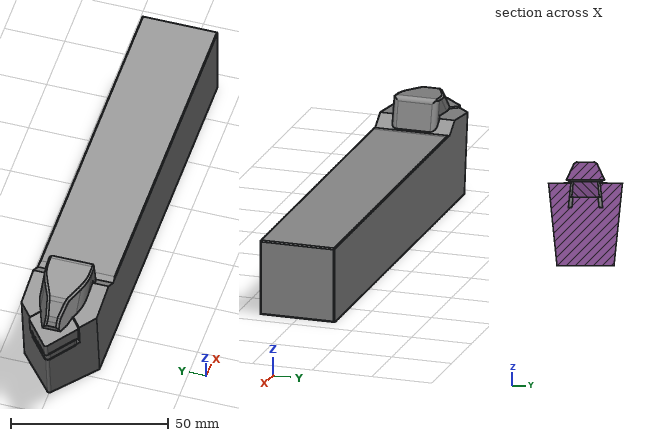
import cadquery as cq
import math

LENGTH = 149.5
SHANK = 25.0
TILT = 7.0
HALF_POINT = 40.0
OVERCUT = 59.8

INSERT_CIRCLE = 12.7
INSERT_THICKNESS = 4.8
INSERT_NOSE = 0.8

SHIM_THICKNESS = 3.3
SHIM_SETBACK = 0.3
SHIM_NOSE = 1.3
SHIM_SIDE_CORNER = 1.8

HEAD_SETBACK = 0.6
HEAD_NOSE = 0.8
HEAD_DROP = 0.5
POCKET_GAP = 0.5
RAMP_TOP_X = 28.4
GROOVE_X = 33.5
GROOVE_DEPTH = 0.5
GROOVE_END_X = 36.0
LONG_EDGE_CHAMFER = 0.3
REAR_CHAMFER = 0.5

CLAMP_WIDTH = 15.0
CLAMP_TOP = 6.3
CLAMP_GAP_W = 0.6
CLAMP_FOOT_U = (6.9, 9.7)
CLAMP_FOOT_RISE_U = 12.5
CLAMP_NOSE_W = 1.6
CLAMP_NOSE_BREAK = (8.0, 2.7)
CLAMP_RAMP_START = (9.3, 3.7)
CLAMP_RAMP_END = (13.9, 5.8)
CLAMP_TOP_START_U = 15.4
CLAMP_REAR_U = 31.5
CLAMP_HEEL_U = 32.8
CLAMP_SWEEP = 43.0
CLAMP_REF_Z = 27.8
CLAMP_NOSE_X = 7.2
CLAMP_NOSE_WIDTH = 4.5
CLAMP_SHOULDER_X = 14.5
CLAMP_SHOULDER_WIDTH = 11.8
CLAMP_FULL_X = 21.1
CLAMP_RIM_CHAMFER = 0.6
CLAMP_REAR_ROUND = 1.8
CLAMP_CORNER_ROUND = 1.8

SIN_POINT = math.sin(math.radians(HALF_POINT))
COS_POINT = math.cos(math.radians(HALF_POINT))
TIP_OFFSET = INSERT_NOSE / SIN_POINT - INSERT_NOSE
INSERT_CENTRE = INSERT_CIRCLE / 2 / SIN_POINT - TIP_OFFSET
HEAD_TIP = HEAD_SETBACK / SIN_POINT - TIP_OFFSET


def tilted(body):
    """Carry a body from the tilted frame to its place at the cutting tip."""
    return body.rotate((0, 0, 0), (0, 1, 0), -TILT).translate((0, 0, SHANK))


def to_tilted(x, z):
    """Tilted-frame coordinates (u, w) of a point of the XZ plane."""
    c, s = math.cos(math.radians(TILT)), math.sin(math.radians(TILT))
    return x * c + (z - SHANK) * s, (z - SHANK) * c - x * s


def rhombus(circle, nose, side_corner, top, thickness):
    """Rounded 80 degree rhombic plate around the insert centre, in the tilted frame."""
    along, across = circle / 2 / SIN_POINT, circle / 2 / COS_POINT
    outline = [
        (INSERT_CENTRE - along, 0),
        (INSERT_CENTRE, across),
        (INSERT_CENTRE + along, 0),
        (INSERT_CENTRE, -across),
    ]
    plate = cq.Workplane("XY").workplane(offset=top - thickness).polyline(outline).close()
    plate = plate.extrude(thickness)
    plate = plate.edges("|Z and (<X or >X)").fillet(nose)
    return plate.edges("|Z and (<Y or >Y)").fillet(side_corner)


def prism(points, width):
    """Prism of an XZ outline, centred on Y = 0."""
    return cq.Workplane("XZ").polyline(points).close().extrude(width / 2, both=True)


def make_insert():
    return tilted(rhombus(INSERT_CIRCLE, INSERT_NOSE, INSERT_NOSE, 0, INSERT_THICKNESS))


def head_level(x):
    """Height of the tilted head top at x."""
    drop = HEAD_DROP / math.cos(math.radians(TILT))
    return SHANK + x * math.tan(math.radians(TILT)) - drop


def ramp_top():
    return RAMP_TOP_X, head_level(RAMP_TOP_X)


def ramp_foot():
    return GROOVE_X, SHANK - GROOVE_DEPTH


def make_bar():
    """Shank with the tilted head top, the clamp ramp and the groove at its foot."""
    side = [
        (0, 0),
        (LENGTH, 0),
        (LENGTH, SHANK),
        (GROOVE_END_X, SHANK),
        ramp_foot(),
        ramp_top(),
        (0, head_level(0)),
    ]
    bar = prism(side, SHANK)
    bar = bar.faces(">X").edges().chamfer(REAR_CHAMFER)
    long_edges = cq.selectors.BoxSelector(
        (GROOVE_END_X, -SHANK, SHANK - LONG_EDGE_CHAMFER),
        (LENGTH, SHANK, SHANK + LONG_EDGE_CHAMFER),
    )
    return bar.edges("|X").edges(long_edges).chamfer(LONG_EDGE_CHAMFER)


def point_wedge():
    """Tilted wedge whose two flanks and rounded nose shape the head."""
    spread = OVERCUT * math.tan(math.radians(HALF_POINT))
    far = HEAD_TIP + OVERCUT
    outline = [
        (HEAD_TIP, 0),
        (far, -spread),
        (far + LENGTH, -spread),
        (far + LENGTH, spread),
        (far, spread),
    ]
    wedge = (
        cq.Workplane("XY").workplane(offset=-OVERCUT)
        .polyline(outline).close()
        .extrude(2 * OVERCUT)
    )
    return tilted(wedge.edges("|Z and <X").fillet(HEAD_NOSE))


def insert_pocket():
    """V-walled seat for shim and insert, open to the front and above."""
    apex = INSERT_CENTRE + (INSERT_CIRCLE / 2 + POCKET_GAP) / SIN_POINT
    spread = OVERCUT * math.tan(math.radians(HALF_POINT))
    floor = -INSERT_THICKNESS - SHIM_THICKNESS
    seat = (
        cq.Workplane("XY").workplane(offset=floor)
        .polyline([(apex, 0), (apex - OVERCUT, spread), (apex - OVERCUT, -spread)]).close()
        .extrude(OVERCUT)
    )
    return tilted(seat)


def make_shim():
    shim_circle = INSERT_CIRCLE - 2 * SHIM_SETBACK
    shim = rhombus(shim_circle, SHIM_NOSE, SHIM_SIDE_CORNER, -INSERT_THICKNESS, SHIM_THICKNESS)
    return tilted(shim)


def clamp_heel():
    """Lowest rear point of the clamp, on the ramp."""
    peak, foot = to_tilted(*ramp_top()), to_tilted(*ramp_foot())
    slope = (foot[1] - peak[1]) / (foot[0] - peak[0])
    return CLAMP_HEEL_U, peak[1] + slope * (CLAMP_HEEL_U - peak[0])


def clamp_side():
    """Side outline of the clamp extruded across Y."""
    peak = to_tilted(*ramp_top())
    side = [
        (CLAMP_FOOT_U[0], 0),
        (CLAMP_FOOT_U[0], CLAMP_NOSE_W),
        CLAMP_NOSE_BREAK,
        CLAMP_RAMP_START,
        CLAMP_RAMP_END,
        (CLAMP_TOP_START_U, CLAMP_TOP),
        (CLAMP_REAR_U, CLAMP_TOP),
        clamp_heel(),
        peak,
        (peak[0], CLAMP_GAP_W),
        (CLAMP_FOOT_RISE_U, CLAMP_GAP_W),
        (CLAMP_FOOT_U[1], 0),
    ]
    body = prism(side, CLAMP_WIDTH)
    rear_top = cq.selectors.NearestToPointSelector((CLAMP_REAR_U, 0, CLAMP_TOP))
    return tilted(body.edges(rear_top).fillet(CLAMP_REAR_ROUND))


def clamp_flanks():
    """Plan outline of the clamp swept backward and up at CLAMP_SWEEP."""
    lean = math.tan(math.radians(CLAMP_SWEEP))
    flare = (CLAMP_SHOULDER_WIDTH - CLAMP_NOSE_WIDTH) / (CLAMP_SHOULDER_X - CLAMP_NOSE_X)
    apex_x = CLAMP_NOSE_X - CLAMP_NOSE_WIDTH / flare
    shoulder_y, full_y = CLAMP_SHOULDER_WIDTH / 2, CLAMP_WIDTH / 2
    rear_x = CLAMP_FULL_X + OVERCUT
    outline = (
        cq.Workplane("XY").moveTo(apex_x, 0)
        .lineTo(CLAMP_SHOULDER_X, -shoulder_y)
        .tangentArcPoint((CLAMP_FULL_X, -full_y), relative=False)
        .lineTo(rear_x, -full_y)
        .lineTo(rear_x, full_y)
        .lineTo(CLAMP_FULL_X, full_y)
        .tangentArcPoint((CLAMP_SHOULDER_X, shoulder_y), relative=False)
        .close()
    )
    below = OVERCUT / 2
    start = outline.val().translate(cq.Vector(-below * lean, 0, CLAMP_REF_Z - below))
    sweep = cq.Vector(OVERCUT * lean, 0, OVERCUT)
    return cq.Workplane(cq.Solid.extrudeLinear(start, [], sweep))


def clamp_rear_limit():
    """Block that ends in the rounded upright rear corners of the clamp."""
    heel = clamp_heel()
    block = prism([(0, heel[1]), heel, (CLAMP_REAR_U, CLAMP_TOP), (0, CLAMP_TOP)], CLAMP_WIDTH)
    rear_edges = block.faces(">X").edges("not |Y")
    return tilted(rear_edges.fillet(CLAMP_CORNER_ROUND))


def is_flank_rim(edge):
    """True for the edges where a flank meets the front, the nose ramp, the top or the rear top."""
    start, end = edge.startPoint(), edge.endPoint()
    runs_across = start.y * end.y < 0
    lowest = min(to_tilted(point.x, point.z)[1] for point in (start, end))
    return not runs_across and lowest > CLAMP_NOSE_W / 2


def make_clamp():
    clamp = clamp_side().intersect(clamp_flanks())
    clamp = clamp.newObject([edge for edge in clamp.edges().vals() if is_flank_rim(edge)])
    return clamp.chamfer(CLAMP_RIM_CHAMFER).intersect(clamp_rear_limit())


def make_holder():
    bar = make_bar().intersect(point_wedge()).cut(insert_pocket())
    return bar.union(make_shim()).union(make_clamp()).solids()


insert = make_insert()
holder = make_holder()

result = cq.Compound.makeCompound([holder.val(), insert.val()])